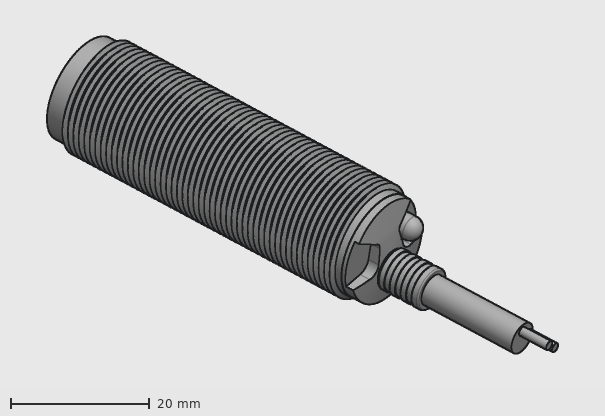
import cadquery as cq
import math

length = 85.6
barrel_radius = 8.3
barrel_length = 54.0

thread_radius = 9.12
thread_start = 3.0
thread_length = 50.0
thread_turns = 50
thread_pitch = thread_length / thread_turns
ridge_root_width = 0.85
ridge_root_depth = 0.1

cable_z = -2.8
cable_radius = 2.5
cable_end = 80.65

cap_radius = 8.2
cap_apex = 56.8
dome_radius = 42.8

notch_floor_x = 54.7
notch_bottom_z = -1.7
notch_foot_y = 3.2
notch_top_y = 2.1
notch_top_z = 3.2
notch_roof_angle = 32.0
notch_foot_fillet = 2.0
notch_top_fillet = 0.9

lamp_radius = 1.9
lamp_y = 4.6
lamp_z = 1.6
lamp_tip = 58.4

sleeve_radius = 3.3
sleeve_end = 64.1
groove_depth = 0.2
rib_count = 4
first_rib_start = 56.9
last_rib_start = 62.9
rib_pitch = (last_rib_start - first_rib_start) / (rib_count - 1)
rib_width = rib_pitch / 2
sleeve_end_fillet = 0.25

wire_radius = 0.73
wire_offset = 1.4

joint_overlap = 0.85


def rod(radius, start, end, y=0.0, z=0.0):
    """Cylinder along X."""
    return cq.Workplane("YZ", origin=(start, y, z)).circle(radius).extrude(end - start)


def thread_ridge():
    """Sharp triangular ridge swept along a helix, starting on the +Y side."""
    root_radius = barrel_radius - ridge_root_depth
    helix = cq.Wire.makeHelix(thread_pitch, thread_length, root_radius)
    profile = (
        cq.Workplane("XZ")
        .moveTo(root_radius, -ridge_root_width / 2)
        .lineTo(thread_radius, 0)
        .lineTo(root_radius, ridge_root_width / 2)
        .close()
    )
    ridge = profile.sweep(cq.Workplane(obj=helix), isFrenet=True)
    return ridge.rotate((0, 0, 0), (1, 1, 1), 120).translate((thread_start, 0, 0))


def notch(side):
    """Cutter for one cap notch; side is +1 for +Y and -1 for -Y."""
    reach = thread_radius
    roof_rise = (reach - notch_top_y) * math.tan(math.radians(notch_roof_angle))
    cutter = (
        cq.Workplane("YZ", origin=(notch_floor_x, 0, 0))
        .moveTo(side * reach, notch_bottom_z)
        .lineTo(side * notch_foot_y, notch_bottom_z)
        .lineTo(side * notch_top_y, notch_top_z)
        .lineTo(side * reach, notch_top_z + roof_rise)
        .close()
        .extrude(cap_apex - notch_floor_x)
    )
    middle_x = (notch_floor_x + cap_apex) / 2
    corners = (
        (notch_foot_y, notch_bottom_z, notch_foot_fillet),
        (notch_top_y, notch_top_z, notch_top_fillet),
    )
    for y, z, radius in corners:
        corner = cq.selectors.NearestToPointSelector((middle_x, side * y, z))
        cutter = cutter.edges("|X").edges(corner).fillet(radius)
    return cutter


def end_cap():
    dome = cq.Workplane("XY").sphere(dome_radius).translate((cap_apex - dome_radius, 0, cable_z))
    cap = rod(cap_radius, barrel_length - joint_overlap, cap_apex).intersect(dome)
    for side in (1, -1):
        cap = cap.cut(notch(side))
    return cap


def lamp():
    centre = lamp_tip - lamp_radius
    tip = cq.Workplane("XY").sphere(lamp_radius).translate((centre, lamp_y, lamp_z))
    return rod(lamp_radius, barrel_length, centre, lamp_y, lamp_z).union(tip)


def strain_relief():
    sleeve = rod(sleeve_radius - groove_depth, barrel_length, sleeve_end, z=cable_z)
    for index in range(rib_count):
        rib_start = first_rib_start + index * rib_pitch
        rib_end = sleeve_end if index == rib_count - 1 else rib_start + rib_width
        sleeve = sleeve.union(rod(sleeve_radius, rib_start, rib_end, z=cable_z))
    return sleeve.faces(">X").edges().fillet(sleeve_end_fillet)


def cable():
    sheath = rod(cable_radius, barrel_length, cable_end, z=cable_z)
    for y, z in ((0.0, wire_offset), (wire_offset, 0.0)):
        sheath = sheath.union(rod(wire_radius, cable_end - joint_overlap, length, y, cable_z + z))
    return sheath


rear_end = end_cap().union(lamp()).union(strain_relief()).union(cable())
barrel = rod(barrel_radius, 0, barrel_length).union(rear_end)
result = barrel.union(thread_ridge())